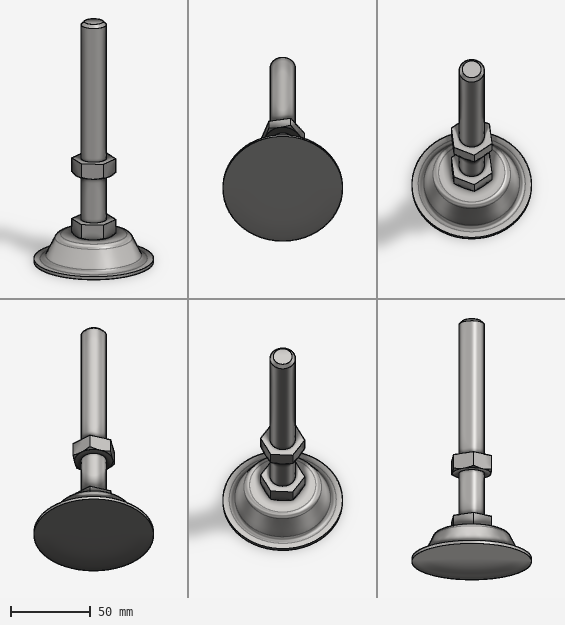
import cadquery as cq
import math

total_height = 158.0

foot_diameter = 75.0
foot_radius = foot_diameter / 2
flange_thickness = 2.0
foot_height = 18.0
cone_base_radius = 31.1
cone_top_radius = 23.2
foot_fillet = 4.0

stud_diameter = 16.0
stud_radius = stud_diameter / 2
stud_chamfer = 2.0

nut_flats = 24.0
nut_height = 10.0
nut_chamfer_angle = 30.0
nut_gap = 30.0
nut_base_levels = [foot_height, foot_height + nut_height + nut_gap]


def make_foot():
    """Solid round foot: flat flange, conical body, both cone edges rounded."""
    blank = (
        cq.Workplane("XZ")
        .polyline([
            (0, 0),
            (foot_radius, 0),
            (foot_radius, flange_thickness),
            (cone_base_radius, flange_thickness),
            (cone_top_radius, foot_height),
            (0, foot_height),
        ])
        .close()
        .revolve(360, (0, 0, 0), (0, 1, 0))
    )
    flange_corner = cq.selectors.RadiusNthSelector(1)
    top_corner = cq.selectors.RadiusNthSelector(0)
    return blank.edges(flange_corner + top_corner).fillet(foot_fillet)


def make_stud():
    """Plain stud standing on the foot, chamfered at its upper end."""
    return (
        cq.Workplane("XY")
        .workplane(offset=foot_height)
        .circle(stud_radius)
        .extrude(total_height - foot_height)
        .faces(">Z")
        .chamfer(stud_chamfer)
    )


def make_nut(base_level):
    """Hexagon nut with corners on the X axis, its lower corners cut by a cone."""
    inner_radius = nut_flats / 2
    corner_radius = inner_radius / math.cos(math.radians(30))
    chamfer_height = (corner_radius - inner_radius) * math.tan(math.radians(nut_chamfer_angle))
    hexagon = cq.Workplane("XY").polygon(6, 2 * corner_radius).extrude(nut_height)
    envelope = (
        cq.Workplane("XZ")
        .polyline([
            (0, 0),
            (inner_radius, 0),
            (corner_radius, chamfer_height),
            (corner_radius, nut_height),
            (0, nut_height),
        ])
        .close()
        .revolve(360, (0, 0, 0), (0, 1, 0))
    )
    bore = cq.Workplane("XY").circle(stud_radius).extrude(nut_height)
    return hexagon.intersect(envelope).cut(bore).translate((0, 0, base_level))


foot = make_foot()
stud = make_stud()
nuts = [make_nut(level) for level in nut_base_levels]

result = cq.Compound.makeCompound([foot.val(), stud.val(), *[nut.val() for nut in nuts]])